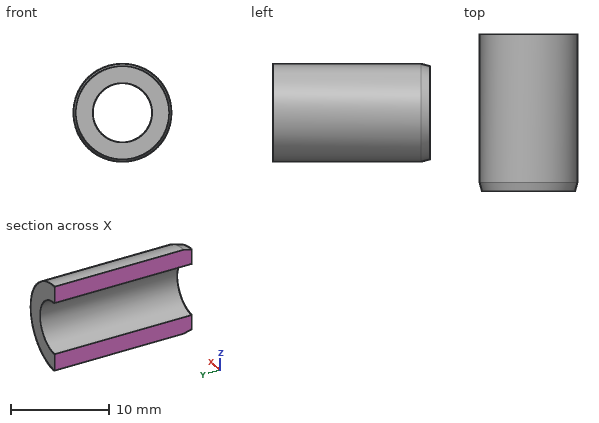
import cadquery as cq
import math

length = 16.0
outer_diameter = 10.0
bore_diameter = 6.0
lead_in_depth = 0.25
lead_in_angle = 15.0

outer_radius = outer_diameter / 2
bore_radius = bore_diameter / 2
lead_in_length = lead_in_depth / math.tan(math.radians(lead_in_angle))
front_y = -length / 2
back_y = length / 2

wall_section = [
    (bore_radius, front_y),
    (outer_radius - lead_in_depth, front_y),
    (outer_radius, front_y + lead_in_length),
    (outer_radius, back_y),
    (bore_radius, back_y),
]

result = cq.Workplane("XY").polyline(wall_section).close().revolve(360, (0, 0, 0), (0, 1, 0))